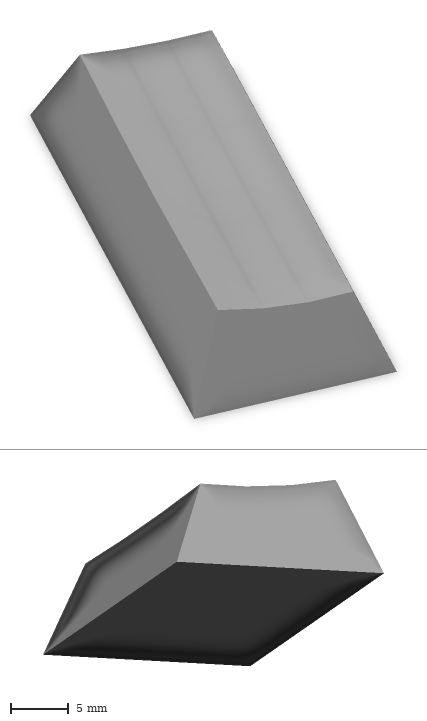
import cadquery as cq
import math

LENGTH = 42.5
WIDTH = 18.6
HEIGHT = 8.7
FLANK_ANGLE = 21.2

DISH_RADIUS = 43.35
DISH_CENTER_Y = 4.05
END_RISE = 0.27
DISH_OVERHANG = 4.25

TOP_INSET = HEIGHT * math.tan(math.radians(FLANK_ANGLE))
CORNER_X = LENGTH / 2 - TOP_INSET
CORNER_Y = -WIDTH / 2 + TOP_INSET


def arc_rise(radius, distance):
    """Height gained by an arc at a distance from its lowest point."""
    return radius - math.sqrt(radius**2 - distance**2)


def make_blank():
    """Solid block with four equally leaning flanks, as tall as the cap."""
    return cq.Workplane("XY").rect(LENGTH, WIDTH).extrude(HEIGHT, taper=FLANK_ANGLE)


def make_dish_cutter():
    """Barrel above the top face: the cross arc turned about a high axis parallel to Y."""
    front_z = HEIGHT - END_RISE
    lowest_z = front_z - arc_rise(DISH_RADIUS, CORNER_Y - DISH_CENTER_Y)
    length_radius = (CORNER_X**2 + END_RISE**2) / (2 * END_RISE)
    axis_z = front_z + length_radius

    front_y = -WIDTH / 2 - DISH_OVERHANG
    back_y = WIDTH / 2 + DISH_OVERHANG
    front_arc_z = lowest_z + arc_rise(DISH_RADIUS, front_y - DISH_CENTER_Y)
    back_arc_z = lowest_z + arc_rise(DISH_RADIUS, back_y - DISH_CENTER_Y)
    return (
        cq.Workplane("YZ")
        .moveTo(front_y, front_arc_z)
        .threePointArc((DISH_CENTER_Y, lowest_z), (back_y, back_arc_z))
        .lineTo(back_y, axis_z)
        .lineTo(front_y, axis_z)
        .close()
        .revolve(360, (front_y, axis_z), (back_y, axis_z))
    )


keycap = make_blank().cut(make_dish_cutter())

result = cq.Compound.makeCompound([keycap.val()])